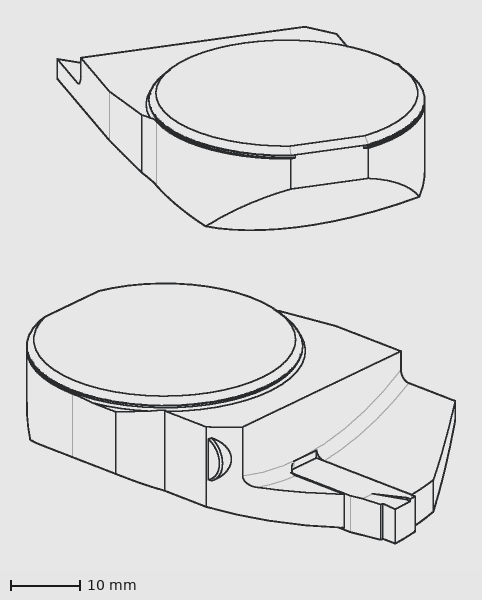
import cadquery as cq
import math


overall_length = 64.1

disc_radius = 20.0
disc_height = 1.8
disc_chamfer = 1.0
flat_x = 19.1
skirt_radius = 20.4
skirt_height = 0.3
groove_radius = 19.8
groove_top = 0.7
front_y = -22.8
shoulder_y = 15.0
holder_tip_x = -44.1
tip_flank_y = -9.15

belly_radius = 35.0
holder_bottom = -16.2
belly_center_z = holder_bottom + belly_radius
relief_top = -4.55

wall_x = -25.5
ledge_radius = 45.0
ledge_bottom = -10.85
ledge_fillet = 1.5

blade_tip_x = flat_x - overall_length
blade_end_x = -20.25
blade_front_y = -4.5
blade_back_y = 1.65
blade_top = -10.65
blade_proud = 0.3
blade_corner = 1.3
chip_face_end_x = -39.55
chip_face_drop = 0.4
seat_relief_top = -9.4

screw_radius = 3.85
screw_x = -20.45
screw_z = -5.2
screw_end_y = 14.8
screw_length = 7.7
screw_chamfer = 0.3

depth = 25.65


def cylinder_along_x(radius, center_z):
    length = 2 * overall_length
    return (cq.Workplane("YZ", origin=(-overall_length, 0, center_z))
            .circle(radius).extrude(length))


def blade_outline():
    """Blade in plan, with its stepped nose and a rounded inner back corner."""
    tip_back_y = 0.1
    step_y = 0.6
    step_x = -42.6
    taper_x = -37.6
    tip_rake = 0.2
    return (
        cq.Workplane("XY", origin=(0, 0, -depth))
        .moveTo(blade_tip_x, tip_back_y)
        .lineTo(step_x, tip_back_y)
        .lineTo(step_x, step_y)
        .lineTo(taper_x, blade_back_y)
        .lineTo(blade_end_x, blade_back_y)
        .lineTo(blade_end_x, blade_front_y)
        .lineTo(blade_tip_x + tip_rake, blade_front_y)
        .close()
        .extrude(depth + blade_top)
        .edges("|Z and >X and >Y")
        .fillet(blade_corner)
    )


def chip_face_cut():
    """Shallow wedge that falls towards the tip, within a tapering plan shape."""
    wedge = (
        cq.Workplane("XZ", origin=(0, blade_back_y, 0))
        .moveTo(chip_face_end_x, blade_top)
        .lineTo(blade_tip_x, blade_top)
        .lineTo(blade_tip_x, blade_top - chip_face_drop)
        .close()
        .extrude(blade_back_y - blade_front_y)
    )
    edge_y = -3.35
    plan = (
        cq.Workplane("XY", origin=(0, 0, -depth))
        .moveTo(blade_tip_x, edge_y)
        .lineTo(-44.15, edge_y)
        .lineTo(chip_face_end_x, -0.95)
        .lineTo(chip_face_end_x, blade_back_y)
        .lineTo(blade_tip_x, blade_back_y)
        .close()
        .extrude(depth)
    )
    return wedge.intersect(plan)


def make_blade():
    underside = cylinder_along_x(belly_radius + blade_proud, belly_center_z)
    return blade_outline().intersect(underside).cut(chip_face_cut())


def holder_plan():
    """Extruded plan shape, its top level with the shoulder."""
    back_corner_x = -8.45
    notch_x = back_corner_x - (disc_radius - shoulder_y)
    return (
        cq.Workplane("XY", origin=(0, 0, -depth))
        .moveTo(0, disc_radius)
        .lineTo(back_corner_x, disc_radius)
        .lineTo(notch_x, shoulder_y)
        .lineTo(-21.6, shoulder_y)
        .lineTo(-36.5, blade_back_y)
        .lineTo(holder_tip_x, blade_front_y)
        .lineTo(holder_tip_x, tip_flank_y)
        .lineTo(-36.1, front_y)
        .lineTo(-12.8, front_y)
        .lineTo(-3.2, -21.1)
        .threePointArc((-1.7, -20.25), (0, -disc_radius))
        .threePointArc((disc_radius, 0), (0, disc_radius))
        .close()
        .extrude(depth)
    )


def ledge_cut():
    """Space above the ledge; its rounded edge leaves the fillet at the wall."""
    start_x = -overall_length
    block = (cq.Workplane("XY", origin=(start_x, 0, -depth))
             .rect(2 * (wall_x - start_x), 2 * overall_length)
             .extrude(2 * depth))
    floor = cylinder_along_x(ledge_radius, ledge_bottom + ledge_radius)
    return floor.intersect(block).faces(">X").edges("<Z").fillet(ledge_fillet)


def relief_cut():
    relief_height = depth + relief_top
    return (
        cq.Workplane("XZ", origin=(0, overall_length, 0))
        .moveTo(flat_x, relief_top)
        .lineTo(flat_x + depth, relief_top)
        .lineTo(flat_x + depth, -depth)
        .lineTo(flat_x - relief_height, -depth)
        .close()
        .extrude(2 * overall_length)
    )


def disc_with_foot():
    foot = (
        cq.Workplane("XZ")
        .moveTo(0, 0)
        .lineTo(skirt_radius, 0)
        .lineTo(groove_radius, skirt_height)
        .lineTo(groove_radius, groove_top)
        .lineTo(0, groove_top)
        .close()
        .revolve(360, (0, 0, 0), (0, 1, 0))
    )
    rim_height = disc_height - groove_top - disc_chamfer
    rim = disc_outline(groove_top).extrude(rim_height)
    chamfer = disc_outline(groove_top + rim_height).extrude(disc_chamfer, taper=45)
    return foot, rim.union(chamfer)


def disc_outline(z):
    """Circle with a flat on its +X side."""
    flat_half_width = math.sqrt(disc_radius**2 - flat_x**2)
    return (
        cq.Workplane("XY", origin=(0, 0, z))
        .moveTo(flat_x, flat_half_width)
        .threePointArc((-disc_radius, 0), (flat_x, -flat_half_width))
        .close()
    )


def flatten(shape):
    keep = (cq.Workplane("XY", origin=(flat_x - overall_length, 0, 0))
            .rect(2 * overall_length, 2 * overall_length)
            .extrude(2 * depth, both=True))
    return shape.intersect(keep)


def screw_end():
    return (
        cq.Workplane("XZ", origin=(screw_x, screw_end_y, screw_z))
        .circle(screw_radius)
        .extrude(screw_length)
        .faces(">Y")
        .chamfer(screw_chamfer)
    )


def seat_relief():
    length = blade_end_x - blade_tip_x
    return (
        cq.Workplane("XY", origin=(wall_x, blade_front_y, blade_top))
        .rect(-length, blade_back_y - blade_front_y, centered=False)
        .extrude(seat_relief_top - blade_top)
        .edges("|Z and >X and >Y")
        .fillet(blade_corner)
    )


def make_holder():
    plan = holder_plan()
    foot, disc = disc_with_foot()
    foot = foot.intersect(plan.translate((0, 0, disc_height)))
    body = plan.intersect(cylinder_along_x(belly_radius, belly_center_z))
    body = body.cut(ledge_cut()).cut(relief_cut())
    body = body.union(foot)
    body = flatten(body).union(disc).union(screw_end())
    return body.cut(seat_relief()).cut(blade_outline())


holder = make_holder()
blade = make_blade()
result = cq.Compound.makeCompound([holder.val(), blade.val()])